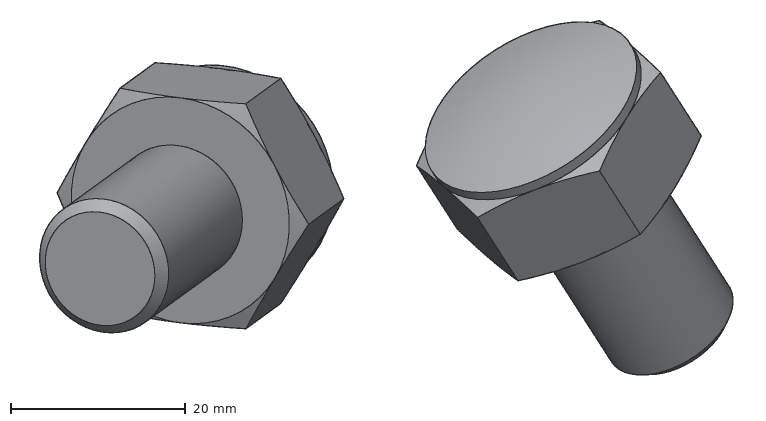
import cadquery as cq
import math

total_length = 39.0
across_flats = 27.0
across_corners = across_flats / math.cos(math.radians(30))

shank_diameter = 16.0
tip_chamfer = 1.2
neck_diameter = 13.0
neck_length = 0.75

head_start = 24.0
hex_height = 12.0
hex_end = head_start + hex_height
corner_chamfer_angle = 20.0
collar_diameter = across_flats
collar_height = 1.2
collar_end = hex_end + collar_height


def make_shank():
    """Chamfered shank with an undercut neck below the head."""
    radius = shank_diameter / 2
    neck_radius = neck_diameter / 2
    neck_start = head_start - neck_length
    return (
        cq.Workplane("XY")
        .moveTo(0, 0)
        .lineTo(radius - tip_chamfer, 0)
        .lineTo(radius, tip_chamfer)
        .lineTo(radius, neck_start)
        .lineTo(neck_radius, neck_start)
        .lineTo(neck_radius, head_start)
        .lineTo(0, head_start)
        .close()
        .revolve(360, (0, 0, 0), (0, 1, 0))
    )


def make_hexagon():
    """Hexagonal prism with corners on +X and -X, chamfered conically at both ends."""
    prism = (
        cq.Workplane("XZ", origin=(0, head_start, 0))
        .polygon(6, across_corners)
        .extrude(-hex_height)
    )
    face_radius = across_flats / 2
    corner_radius = across_corners / 2
    corner_drop = (corner_radius - face_radius) * math.tan(math.radians(corner_chamfer_angle))
    chamfer_envelope = (
        cq.Workplane("XY")
        .moveTo(0, head_start)
        .lineTo(face_radius, head_start)
        .lineTo(corner_radius, head_start + corner_drop)
        .lineTo(corner_radius, hex_end - corner_drop)
        .lineTo(face_radius, hex_end)
        .lineTo(0, hex_end)
        .close()
        .revolve(360, (0, 0, 0), (0, 1, 0))
    )
    return prism.intersect(chamfer_envelope)


def make_domed_collar():
    """Round collar on the hexagon, closed by a spherical dome."""
    radius = collar_diameter / 2
    dome_height = total_length - collar_end
    sphere_radius = (radius**2 + dome_height**2) / (2 * dome_height)
    half_angle = math.asin(radius / sphere_radius) / 2
    arc_middle_x = sphere_radius * math.sin(half_angle)
    arc_middle_y = total_length - sphere_radius * (1 - math.cos(half_angle))
    return (
        cq.Workplane("XY")
        .moveTo(0, hex_end)
        .lineTo(radius, hex_end)
        .lineTo(radius, collar_end)
        .threePointArc((arc_middle_x, arc_middle_y), (0, total_length))
        .close()
        .revolve(360, (0, 0, 0), (0, 1, 0))
    )


result = make_shank().union(make_hexagon()).union(make_domed_collar())